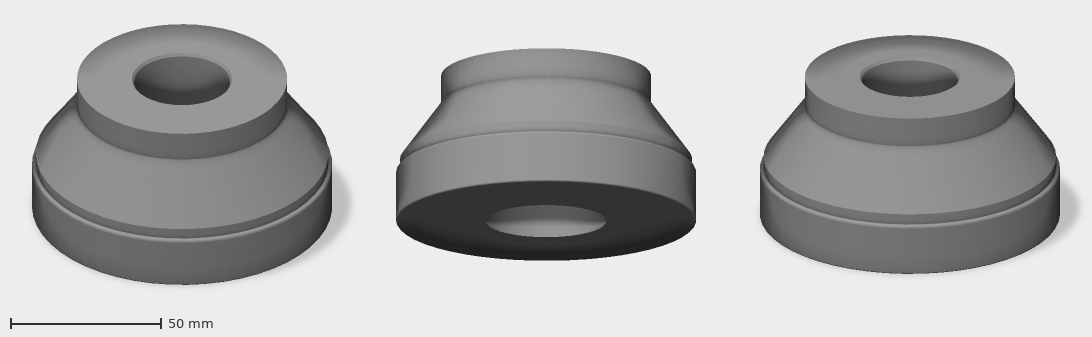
import cadquery as cq

base_radius = 50.0
base_height = 17.6
top_edge_fillet = 1.1
bottom_edge_fillet = 0.6

total_height = 50.0
shoulder_radius = 48.7
shoulder_top = 21.2
neck_radius = 35.0
neck_height = 10.0
neck_bottom = total_height - neck_height

bore_radius = 16.0
bore_chamfer_width = 0.7
bore_chamfer_depth = 1.0
bore_bottom = 30.6
relief_radius = 20.0


def make_base():
    """Plain ring with its two outer edges rounded."""
    disc = cq.Workplane("XY").circle(base_radius).extrude(base_height)
    disc = disc.faces(">Z").edges().fillet(top_edge_fillet)
    disc = disc.faces("<Z").edges().fillet(bottom_edge_fillet)
    relief = cq.Workplane("XY").circle(relief_radius).extrude(base_height)
    return disc.cut(relief)


def make_hub():
    """Revolved shoulder, cone and neck with a stepped bore."""
    half_section = (
        cq.Workplane("XZ")
        .moveTo(relief_radius, base_height)
        .lineTo(shoulder_radius, base_height)
        .lineTo(shoulder_radius, shoulder_top)
        .lineTo(neck_radius, neck_bottom)
        .lineTo(neck_radius, total_height)
        .lineTo(bore_radius + bore_chamfer_width, total_height)
        .lineTo(bore_radius, total_height - bore_chamfer_depth)
        .lineTo(bore_radius, bore_bottom)
        .lineTo(relief_radius, bore_bottom)
        .close()
    )
    return half_section.revolve(360, (0, 0, 0), (0, 1, 0))


base = make_base()
hub = make_hub()

result = cq.Compound.makeCompound([base.val(), hub.val()])